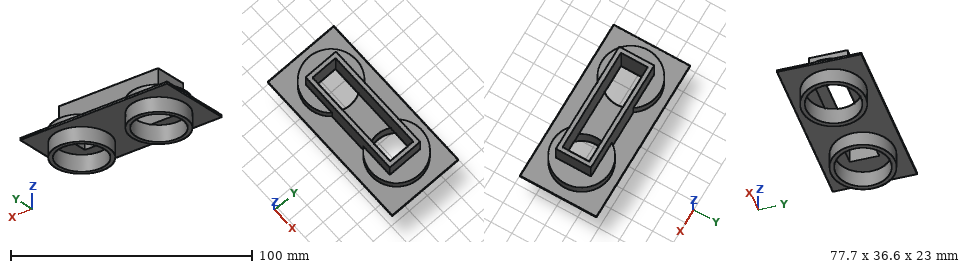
import cadquery as cq

plate_length = 77.65
plate_width = 36.6
plate_thickness = 1.0

socket_diameter = 27.8
bore_diameter = 23.8
socket_spacing = 40.8
socket_depth_below = 7.0
socket_height_above = 5.0
socket_center_x = -0.1
socket_center_y = 0.55

collar_length = 52.5
collar_width = 16.8
wall = 2.0
collar_height_above_sockets = 10.0
collar_center_x = -0.1

collar_height = socket_height_above + collar_height_above_sockets
socket_height = socket_depth_below + plate_thickness + socket_height_above
bore_depth = socket_depth_below + plate_thickness
socket_centers = [
    (socket_center_x + side * socket_spacing / 2, socket_center_y)
    for side in (-1, 1)
]


def cylinders(diameter, height):
    """Cylinders on both socket axes, rising from the socket bottoms."""
    return (
        cq.Workplane("XY", origin=(0, 0, -socket_depth_below))
        .pushPoints(socket_centers)
        .circle(diameter / 2)
        .extrude(height)
    )


def collar_block(length, width):
    """Rectangular block on the plate, as tall as the collar."""
    return (
        cq.Workplane("XY", origin=(collar_center_x, 0, plate_thickness))
        .rect(length, width)
        .extrude(collar_height)
    )


plate = cq.Workplane("XY").rect(plate_length, plate_width).extrude(plate_thickness)
sockets = cylinders(socket_diameter, socket_height)
bores = cylinders(bore_diameter, bore_depth)
collar = collar_block(collar_length, collar_width)
opening = collar_block(collar_length - 2 * wall, collar_width - 2 * wall)

result = plate.union(sockets).union(collar).cut(opening).cut(bores)